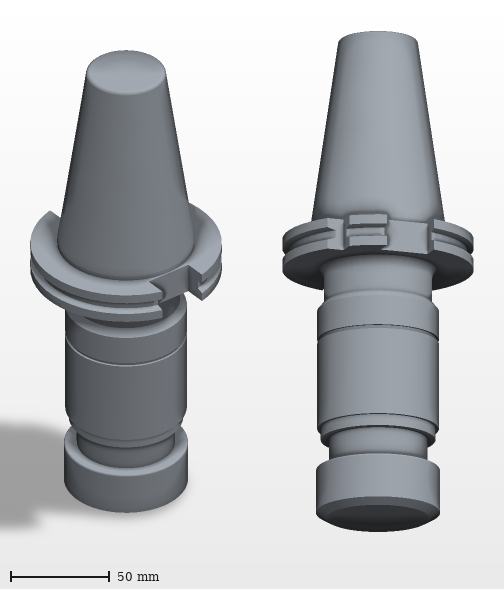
import cadquery as cq

TOTAL_LENGTH = 251.2
NUT_TOP = 25.9
COLLAR_BOTTOM = 41.2
BODY_BOTTOM = 47.0
GROOVE_BOTTOM = 91.7
GROOVE_TOP = 93.7
SHOULDER_BOTTOM = 109.0
SHOULDER_TOP = 112.8
FILLET_START = 125.9
FLANGE_BOTTOM = 130.5
FLANGE_TOP = 146.7
GAUGE_PLANE = 149.2

NUT_RADIUS = 63.0 / 2
LOWER_NECK_RADIUS = 50.0 / 2
COLLAR_RADIUS = 58.3 / 2
BODY_RADIUS = 61.8 / 2
BODY_GROOVE_RADIUS = 59.3 / 2
UPPER_NECK_RADIUS = 55.0 / 2
FILLET_END_RADIUS = 30.0
FLANGE_RADIUS = 97.2 / 2
GAUGE_RADIUS = 69.8 / 2
TAPER_TOP_RADIUS = 20.3

NUT_CHAMFER_WIDTH = 5.3
NUT_CHAMFER_HEIGHT = 3.0
NUT_TOP_ROUNDING = 1.0
TAPER_TOP_ROUNDING = 2.0

GRIPPER_FLOOR_RADIUS = 45.2
GRIPPER_FLOOR_WIDTH = 4.0
GRIPPER_MOUTH_WIDTH = 6.5

SLOT_WIDTH = 25.4
LEFT_SLOT_FLOOR = 37.5
RIGHT_SLOT_FLOOR = 35.5
NOTCH_X = 29.6
NOTCH_Y = 30.0


def turned_body():
    """Revolve the half section of the complete holder about Z."""
    fillet_width = FILLET_END_RADIUS - UPPER_NECK_RADIUS
    fillet_height = FLANGE_BOTTOM - FILLET_START
    fillet_radius = (fillet_width**2 + fillet_height**2) / (2 * fillet_width)
    profile = (
        cq.Workplane("XZ")
        .lineTo(NUT_RADIUS - NUT_CHAMFER_WIDTH, 0)
        .lineTo(NUT_RADIUS, NUT_CHAMFER_HEIGHT)
        .lineTo(NUT_RADIUS, NUT_TOP - NUT_TOP_ROUNDING)
        .radiusArc((NUT_RADIUS - NUT_TOP_ROUNDING, NUT_TOP), -NUT_TOP_ROUNDING)
        .lineTo(LOWER_NECK_RADIUS, NUT_TOP)
        .lineTo(LOWER_NECK_RADIUS, COLLAR_BOTTOM)
        .lineTo(COLLAR_RADIUS, COLLAR_BOTTOM)
        .lineTo(COLLAR_RADIUS, BODY_BOTTOM)
        .lineTo(BODY_RADIUS, BODY_BOTTOM)
        .lineTo(BODY_RADIUS, SHOULDER_BOTTOM)
        .lineTo(UPPER_NECK_RADIUS, SHOULDER_TOP)
        .lineTo(UPPER_NECK_RADIUS, FILLET_START)
        .radiusArc((FILLET_END_RADIUS, FLANGE_BOTTOM), fillet_radius)
        .lineTo(FLANGE_RADIUS, FLANGE_BOTTOM)
        .lineTo(FLANGE_RADIUS, FLANGE_TOP)
        .lineTo(GAUGE_RADIUS, FLANGE_TOP)
        .lineTo(GAUGE_RADIUS, GAUGE_PLANE)
        .lineTo(TAPER_TOP_RADIUS, TOTAL_LENGTH - TAPER_TOP_ROUNDING)
        .radiusArc((TAPER_TOP_RADIUS - TAPER_TOP_ROUNDING, TOTAL_LENGTH), -TAPER_TOP_ROUNDING)
        .lineTo(0, TOTAL_LENGTH)
        .close()
    )
    return profile.revolve(360, (0, 0, 0), (0, 1, 0))


def ring_cutter(floor_radius, outer_radius, middle, floor_width, mouth_width):
    """Ring that cuts a groove symmetric about the height `middle`."""
    return (
        cq.Workplane("XZ")
        .moveTo(floor_radius, middle - floor_width / 2)
        .lineTo(outer_radius, middle - mouth_width / 2)
        .lineTo(outer_radius, middle + mouth_width / 2)
        .lineTo(floor_radius, middle + floor_width / 2)
        .close()
        .revolve(360, (0, 0, 0), (0, 1, 0))
    )


def flange_cutter(x_min, x_max, y_min, y_max):
    """Rectangular block through the full flange thickness."""
    return cq.Workplane("XY").box(
        x_max - x_min, y_max - y_min, FLANGE_TOP - FLANGE_BOTTOM, centered=False
    ).translate((x_min, y_min, FLANGE_BOTTOM))


body_groove_width = GROOVE_TOP - GROOVE_BOTTOM
body_groove = ring_cutter(
    BODY_GROOVE_RADIUS, BODY_RADIUS, (GROOVE_BOTTOM + GROOVE_TOP) / 2,
    body_groove_width, body_groove_width,
)
gripper_groove = ring_cutter(
    GRIPPER_FLOOR_RADIUS, FLANGE_RADIUS, (FLANGE_BOTTOM + FLANGE_TOP) / 2,
    GRIPPER_FLOOR_WIDTH, GRIPPER_MOUTH_WIDTH,
)

half_slot = SLOT_WIDTH / 2
left_slot = flange_cutter(-FLANGE_RADIUS, -LEFT_SLOT_FLOOR, -half_slot, half_slot)
right_slot = flange_cutter(RIGHT_SLOT_FLOOR, FLANGE_RADIUS, -half_slot, half_slot)
notch = flange_cutter(-FLANGE_RADIUS, -NOTCH_X, NOTCH_Y, FLANGE_RADIUS)

result = turned_body()
for cutter in (body_groove, gripper_groove, left_slot, right_slot, notch):
    result = result.cut(cutter)